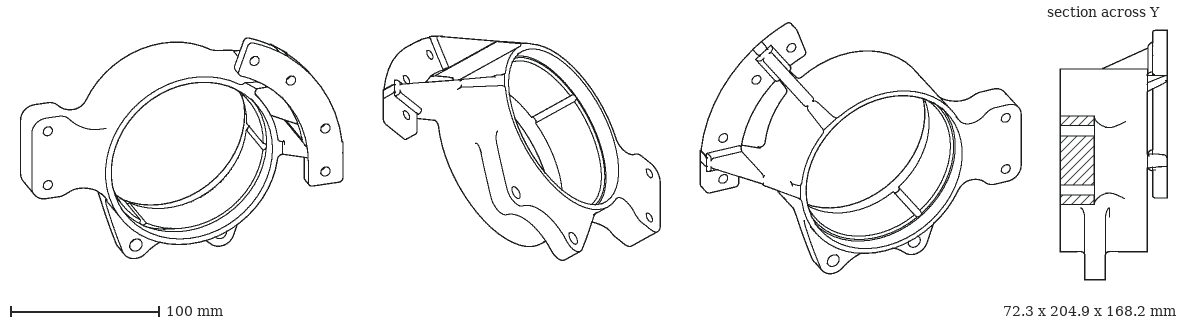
import cadquery as cq
import math

ring_radius = 61.7
ring_length = 58.8
front_bore_radius = 58.0
front_bore_depth = 11.0
lip_radius = 56.8
mid_bore_radius = 55.1
rear_bore_radius = 57.5
rear_bore_length = 12.0
keyway_angles = [63.5, 183.5, 303.5]

tab_end = 101.9
tab_half_width = 30.0
tab_thickness = 23.2
tab_corner_radius = 10.0
neck_half_width = 22.1
neck_ring_radius = 10.0
neck_tab_radius = 14.4
tab_flat_start = 82.5
gusset_foot = 76.3
gusset_angle = 49.0
gusset_foot_radius = 5.0
gusset_ring_radius = 10.0
tab_hole_offset = 90.5
tab_hole_spacing = 40.0
small_hole_diameter = 6.5

lug_start = 16.6
lug_thickness = 14.0
lug_fillet = 2.7
lug_hole_diameter = 8.8
lug_boss_radius = 10.0
lug_offset = 30.1
lug_height = -70.5
lug_web_height = -68.5
lug_side_angle = 20.0
lug_ring_end = (52.9, -31.4)

flange_y = 2.0
flange_z = -6.5
flange_inner_radius = 76.3
flange_outer_radius = 101.0
flange_front = 62.3
flange_thickness = 10.0
flange_back = flange_front + flange_thickness
flange_end_angle = 70.3
flange_foot_drop = 18.9
flange_corner_radius = 3.0
flange_edge_radius = 1.8
hole_pair_spacing = 32.0
lower_hole_radius = 88.5
upper_hole_radius = 87.5

rib_angle = 54.4
rib_half_thickness = 4.0
lower_rib_root = (4.7, 6.0)
upper_rib_root = (6.5, 6.5)
rib_root_fillet = 3.0
rib_foot_fillet = 3.0
rib_edge_radius = 1.8
rib_blank_half_width = 14.4
rib_underside_step = 3.0
rib_root_depth = 6.2
rib_front_step = 0.6
root_zone_reach = 4.0

clearance = 2.0


def yz_plane(x):
    """Workplane at x with local axes (Y, Z), extruding toward +X."""
    return cq.Workplane("YZ", origin=(x, 0, 0))


def x_cylinder(radius, start, end):
    return yz_plane(start).circle(radius).extrude(end - start)


def x_holes(diameter, points):
    length = flange_back + 2 * clearance
    return yz_plane(-clearance).pushPoints(points).circle(diameter / 2).extrude(length)


def polar(radius, angle):
    return (radius * math.cos(math.radians(angle)), radius * math.sin(math.radians(angle)))


def near(point):
    return cq.selectors.NearestToPointSelector(point)


def flange_point(radius, angle):
    y, z = polar(radius, angle)
    return (flange_y + y, flange_z + z)


def make_bore():
    rear_start = ring_length - rear_bore_length
    chamfer_end = front_bore_depth + lip_radius - mid_bore_radius
    profile = [
        (-clearance, 0),
        (-clearance, front_bore_radius),
        (front_bore_depth, front_bore_radius),
        (front_bore_depth, lip_radius),
        (chamfer_end, mid_bore_radius),
        (rear_start, mid_bore_radius),
        (rear_start, rear_bore_radius),
        (ring_length + clearance, rear_bore_radius),
        (ring_length + clearance, 0),
    ]
    bore = cq.Workplane("XY").polyline(profile).close().revolve(360, (0, 0, 0), (1, 0, 0))
    keyway_radius = rear_bore_radius - mid_bore_radius
    centres = [polar(mid_bore_radius, 180 - angle) for angle in keyway_angles]
    keyways = (
        yz_plane(front_bore_depth)
        .pushPoints(centres)
        .circle(keyway_radius)
        .extrude(rear_start - front_bore_depth)
    )
    return bore.union(keyways)


def make_tab():
    neck_z = neck_half_width + neck_ring_radius
    neck_y = math.sqrt((ring_radius + neck_ring_radius) ** 2 - neck_z**2)
    scale = ring_radius / (ring_radius + neck_ring_radius)
    root = (-neck_y * scale, neck_z * scale)
    rise = tab_half_width - neck_half_width
    turn = math.acos(1 - rise / (neck_tab_radius + tab_corner_radius))
    bend_y = tab_flat_start - tab_corner_radius * math.sin(turn)
    bend = (-bend_y, tab_half_width - tab_corner_radius * (1 - math.cos(turn)))
    neck = (-(bend_y - neck_tab_radius * math.sin(turn)), neck_half_width)
    neck_ring = (-neck_y, neck_half_width)
    outer_y = tab_corner_radius - tab_end
    corner_z = tab_half_width - tab_corner_radius
    half = (
        yz_plane(0)
        .moveTo(root[0], 0)
        .lineTo(*root)
        .radiusArc(neck_ring, neck_ring_radius)
        .lineTo(*neck)
        .radiusArc(bend, neck_tab_radius)
        .radiusArc((-tab_flat_start, tab_half_width), -tab_corner_radius)
        .lineTo(outer_y, tab_half_width)
        .radiusArc((-tab_end, corner_z), -tab_corner_radius)
        .lineTo(-tab_end, 0)
        .close()
        .extrude(ring_length)
    )
    outline = half.union(half.mirror("XY"))

    slope = math.tan(math.radians(gusset_angle))
    gusset_tip = tab_thickness + gusset_foot / slope
    body = (
        cq.Workplane("XY", origin=(0, 0, -ring_radius))
        .polyline(
            [
                (0, 0),
                (0, -tab_end - clearance),
                (tab_thickness, -tab_end - clearance),
                (tab_thickness, -gusset_foot),
                (gusset_tip, 0),
            ]
        )
        .close()
        .extrude(2 * ring_radius)
    )
    body = body.edges(near((tab_thickness, -gusset_foot, 0))).fillet(gusset_foot_radius)
    body = body.union(x_cylinder(ring_radius, 0, ring_length))
    junction = tab_thickness + (gusset_foot - ring_radius) / slope
    body = body.edges(near((junction, -ring_radius, 0))).fillet(gusset_ring_radius)
    return body.intersect(outline)


def make_lugs():
    drop = lug_web_height - lug_height
    web_radius = (lug_offset**2 + drop**2 - lug_boss_radius**2) / (2 * (lug_boss_radius + drop))
    web_centre_z = lug_web_height - web_radius
    scale = web_radius / (web_radius + lug_boss_radius)
    web_end = (lug_offset * scale, web_centre_z + (lug_height - web_centre_z) * scale)
    side_y, side_z = polar(lug_boss_radius, -lug_side_angle)
    half = (
        yz_plane(0)
        .moveTo(0, lug_web_height)
        .radiusArc(web_end, web_radius)
        .threePointArc(
            (lug_offset, lug_height - lug_boss_radius),
            (lug_offset + side_y, lug_height + side_z),
        )
        .tangentArcPoint(lug_ring_end, relative=False)
        .lineTo(0, lug_ring_end[1])
        .close()
        .extrude(ring_length)
    )
    outline = half.union(half.mirror("XZ"))

    lug_end = lug_start + lug_thickness
    disc_radius = lug_boss_radius + math.hypot(lug_offset, lug_height) + clearance
    disc = x_cylinder(ring_radius, 0, ring_length).union(x_cylinder(disc_radius, lug_start, lug_end))
    disc = (
        disc.edges(
            cq.selectors.BoxSelector(
                (lug_start - 0.2, -ring_radius, -ring_radius),
                (lug_end + 0.2, ring_radius, ring_radius),
            )
        )
        .edges(cq.selectors.RadiusNthSelector(0))
        .fillet(lug_fillet)
    )
    return disc.intersect(outline)


def round_free_end(plate, free_corners, joined_side):
    """Round the two free corners of an end plate, then its front rim except where it runs on."""
    middle_x = (flange_front + flange_back) / 2
    first, second = free_corners
    plate = plate.edges(near((middle_x, *first)) + near((middle_x, *second))).fillet(
        flange_corner_radius
    )
    rim = plate.faces("<X").edges(-near((flange_front, *joined_side)))
    return rim.fillet(flange_edge_radius)


def sector(start_angle, end_angle):
    middle = (start_angle + end_angle) / 2
    return (
        yz_plane(flange_front)
        .moveTo(*flange_point(flange_inner_radius, start_angle))
        .lineTo(*flange_point(flange_outer_radius, start_angle))
        .threePointArc(
            flange_point(flange_outer_radius, middle),
            flange_point(flange_outer_radius, end_angle),
        )
        .lineTo(*flange_point(flange_inner_radius, end_angle))
        .threePointArc(
            flange_point(flange_inner_radius, middle),
            flange_point(flange_inner_radius, start_angle),
        )
        .close()
        .extrude(flange_thickness)
    )


def make_flange():
    mean_radius = (flange_inner_radius + flange_outer_radius) / 2
    radii = (flange_inner_radius, flange_outer_radius)

    middle = sector(0, rib_angle)
    outer_edge = flange_point(flange_outer_radius, rib_angle / 2)
    middle = middle.edges(near((flange_front, *outer_edge))).fillet(flange_edge_radius)

    upper = sector(rib_angle, flange_end_angle)
    upper_corners = [flange_point(radius, flange_end_angle) for radius in radii]
    upper = round_free_end(upper, upper_corners, flange_point(mean_radius, rib_angle))

    bottom = flange_z - flange_foot_drop
    lower = (
        yz_plane(flange_front)
        .moveTo(flange_y + mean_radius, flange_z - flange_foot_drop / 2)
        .rect(flange_outer_radius - flange_inner_radius, flange_foot_drop)
        .extrude(flange_thickness)
    )
    lower_corners = [(flange_y + radius, bottom) for radius in radii]
    lower = round_free_end(lower, lower_corners, (flange_y + mean_radius, flange_z))
    return middle.union(upper).union(lower)


def make_rib(base_y, base_z, angle, root):
    """Rib that leaves (base_y, base_z) at the given angle from +Y toward +Z."""
    cos_a, sin_a = polar(1.0, angle)
    along = base_y * cos_a + base_z * sin_a
    across = base_y * sin_a - base_z * cos_a
    ring_reach = math.sqrt(ring_radius**2 - across**2) - along
    depth = ring_reach - rib_root_depth

    side = (
        cq.Workplane("XY", origin=(0, 0, -rib_blank_half_width))
        .polyline(
            [
                (0, depth),
                (0, ring_reach + rib_front_step),
                (flange_front, flange_outer_radius),
                (flange_back, flange_outer_radius),
                (flange_back, flange_inner_radius),
                (ring_length, ring_reach + rib_underside_step),
                (ring_length, depth),
            ]
        )
        .close()
        .extrude(2 * rib_blank_half_width)
    )

    def web_piece(start, end, start_widths, end_widths):
        """Straight-sided stretch of the web, as deep in X as the whole flange."""
        return (
            yz_plane(0)
            .polyline(
                [
                    (start, start_widths[0]),
                    (end, end_widths[0]),
                    (end, -end_widths[1]),
                    (start, -start_widths[1]),
                ]
            )
            .close()
            .extrude(flange_back)
        )

    def rounded(piece):
        """Trim a piece to the side profile and round the long edges of its sloping face."""
        trimmed = piece.intersect(side)
        return trimmed.faces(near(slope_centre)).edges("not |Z").fillet(rib_edge_radius)

    slope_centre = (flange_front / 2, (ring_reach + flange_outer_radius) / 2, 0)
    web_widths = (rib_half_thickness, rib_half_thickness)
    inner = web_piece(depth, flange_inner_radius, root, web_widths)
    outer = web_piece(flange_inner_radius, flange_outer_radius, web_widths, web_widths)
    web = rounded(inner).union(rounded(outer))

    ring = yz_plane(0).moveTo(-along, across).circle(ring_radius).extrude(flange_back)
    junction = inner.union(ring)
    for t in (root[0], -root[1]):
        corner = (flange_back / 2, ring_reach, t)
        junction = junction.edges("|X").edges(near(corner)).fillet(rib_root_fillet)
    root_zone = (
        yz_plane(0)
        .moveTo(depth, 0)
        .rect(2 * (ring_reach + root_zone_reach - depth), 2 * rib_blank_half_width)
        .extrude(flange_back)
    )
    web = web.union(junction.intersect(side).intersect(root_zone))

    foot_half = rib_half_thickness + rib_foot_fillet
    foot_start = flange_front - rib_foot_fillet
    foot = (
        cq.Workplane("XZ", origin=(0, flange_inner_radius, 0))
        .moveTo(flange_front, -foot_half)
        .radiusArc((foot_start, -rib_half_thickness), rib_foot_fillet)
        .lineTo(foot_start, rib_half_thickness)
        .radiusArc((flange_front, foot_half), rib_foot_fillet)
        .close()
        .extrude(flange_inner_radius - flange_outer_radius)
    )
    rib = web.union(foot.intersect(side))
    return rib.rotate((0, 0, 0), (1, 0, 0), angle).translate((0, base_y, base_z))


rib_lower = make_rib(flange_y, 0, 0, lower_rib_root)
rib_upper = make_rib(flange_y, flange_z, rib_angle, upper_rib_root)

body = x_cylinder(ring_radius, 0, ring_length)
for feature in (make_tab(), make_lugs(), make_flange(), rib_lower, rib_upper):
    body = body.union(feature)

half_tab = tab_hole_spacing / 2
tab_holes = [(-tab_hole_offset, half_tab), (-tab_hole_offset, -half_tab)]
half_pair = hole_pair_spacing / 2
upper_y, upper_z = flange_point(upper_hole_radius, rib_angle)
tangent_y, tangent_z = polar(half_pair, rib_angle + 90)
flange_holes = [
    (flange_y + lower_hole_radius, half_pair),
    (flange_y + lower_hole_radius, -half_pair),
    (upper_y + tangent_y, upper_z + tangent_z),
    (upper_y - tangent_y, upper_z - tangent_z),
]
lug_holes = [(lug_offset, lug_height), (-lug_offset, lug_height)]

result = (
    body.cut(make_bore())
    .cut(x_holes(small_hole_diameter, tab_holes + flange_holes))
    .cut(x_holes(lug_hole_diameter, lug_holes))
)